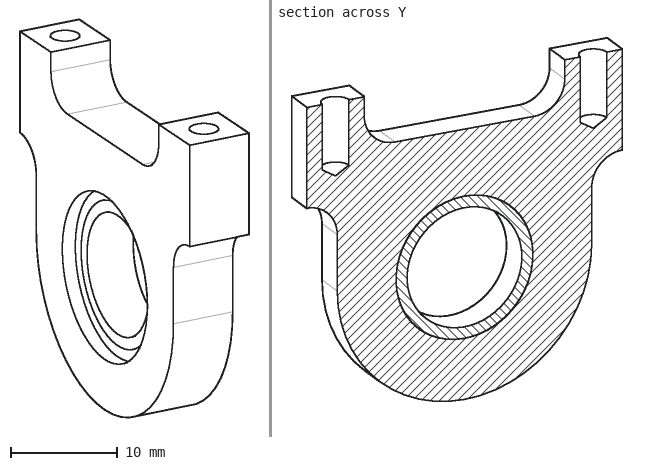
import cadquery as cq
import math

WIDTH = 33.02
THICKNESS = 6.35
ROUND_RADIUS = 13.35
TOP_Z = 19.05

LUG_WIDTH = 6.05
LUG_HEIGHT = 10.2
NOTCH_DEPTH = 5.12
NOTCH_FILLET = 3.17
UNDERCUT_RADIUS = WIDTH / 2 - ROUND_RADIUS

HOLE_DIAMETER = 2.75
HOLE_DEPTH = 6.6
DRILL_POINT_ANGLE = 118.0

RECESS_RADIUS = 8.25
RECESS_DEPTH = 1.4
BUSHING_OUTER_RADIUS = 7.13
BUSHING_INNER_RADIUS = 5.98
BUSHING_LENGTH = THICKNESS - RECESS_DEPTH


def front_plane(y):
    """XZ workplane at depth y; a negative extrusion runs toward +Y."""
    return cq.Workplane("XZ", origin=(0, y, 0))


def make_body():
    """Plate with two raised lugs, undercut shoulders and a round lower end."""
    half_width = WIDTH / 2
    lug_inner_x = half_width - LUG_WIDTH
    lug_bottom_z = TOP_Z - LUG_HEIGHT
    notch_z = TOP_Z - NOTCH_DEPTH
    undercut_z = lug_bottom_z - UNDERCUT_RADIUS
    arc_offset = UNDERCUT_RADIUS * math.sqrt(0.5)
    arc_mid_x = half_width - arc_offset
    arc_mid_z = undercut_z + arc_offset

    body = (
        front_plane(0)
        .moveTo(-half_width, TOP_Z)
        .lineTo(-lug_inner_x, TOP_Z)
        .lineTo(-lug_inner_x, notch_z)
        .lineTo(lug_inner_x, notch_z)
        .lineTo(lug_inner_x, TOP_Z)
        .lineTo(half_width, TOP_Z)
        .lineTo(half_width, lug_bottom_z)
        .threePointArc((arc_mid_x, arc_mid_z), (ROUND_RADIUS, undercut_z))
        .lineTo(ROUND_RADIUS, 0)
        .threePointArc((0, -ROUND_RADIUS), (-ROUND_RADIUS, 0))
        .lineTo(-ROUND_RADIUS, undercut_z)
        .threePointArc((-arc_mid_x, arc_mid_z), (-half_width, lug_bottom_z))
        .close()
        .extrude(-THICKNESS)
    )
    notch_corners = [
        cq.NearestToPointSelector((side * lug_inner_x, THICKNESS / 2, notch_z))
        for side in (-1, 1)
    ]
    return body.edges(notch_corners[0] + notch_corners[1]).fillet(NOTCH_FILLET)


def make_drill(x):
    """Cutting tool for one lug hole: a cylinder ending in a drill point."""
    radius = HOLE_DIAMETER / 2
    point_height = radius / math.tan(math.radians(DRILL_POINT_ANGLE / 2))
    profile = (
        cq.Workplane("XZ")
        .polyline([(0, 0), (radius, 0), (radius, -HOLE_DEPTH), (0, -HOLE_DEPTH - point_height)])
        .close()
    )
    drill = profile.revolve(360, (0, 0), (0, 1))
    return drill.translate((x, THICKNESS / 2, TOP_Z))


def make_housing():
    """Body with the bushing bore, front recess and lug holes."""
    bore = front_plane(0).circle(BUSHING_OUTER_RADIUS).extrude(-THICKNESS)
    recess = front_plane(0).circle(RECESS_RADIUS).extrude(-RECESS_DEPTH)
    housing = make_body().cut(bore).cut(recess)
    hole_x = (WIDTH - LUG_WIDTH) / 2
    for side in (-1, 1):
        housing = housing.cut(make_drill(side * hole_x))
    return housing


def make_bushing():
    """Plain sleeve from the recess floor to the back face."""
    return (
        front_plane(RECESS_DEPTH)
        .circle(BUSHING_OUTER_RADIUS)
        .circle(BUSHING_INNER_RADIUS)
        .extrude(-BUSHING_LENGTH)
    )


housing = make_housing()
bushing = make_bushing()

result = cq.Compound.makeCompound([housing.solids().val(), bushing.val()])